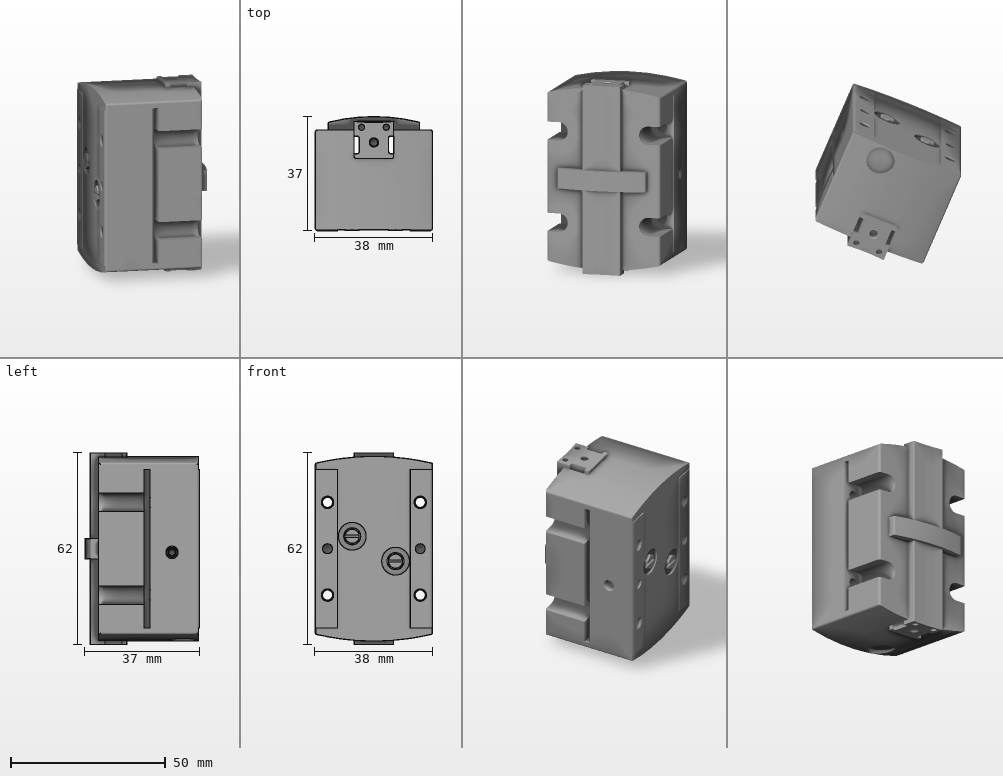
import cadquery as cq
import math


HOUSING_WIDTH = 38.0
HOUSING_DEPTH = 32.7
HOUSING_HEIGHT = 59.75
HOUSING_SIDE_HEIGHT = 55.3
SIDE_EDGE_RADIUS = 0.7
FRONT_EDGE_RADIUS = 1.0
BACK_EDGE_RADIUS = 0.8

PAD_HEIGHT = 0.3
PAD_INNER_X = 11.7
PAD_LENGTH = 51.35
PAD_EDGE_CHAMFER = 0.25
MOUNT_HALF_SPACING = 15.0
BOLT_DIAMETER = 3.3
BOLT_CHAMFER_DIAMETER = 4.0
DOWEL_DIAMETER = 3.2
DOWEL_DEPTH = 4.95

GROOVE_WIDTH = 2.0
GROOVE_CENTRE_Y = 17.0
ACCESS_SLOT_WIDTH = 6.0
ACCESS_SLOT_START_Y = GROOVE_CENTRE_Y + GROOVE_WIDTH / 2
GROOVE_FLOOR_X = MOUNT_HALF_SPACING - ACCESS_SLOT_WIDTH / 2

PORT_Y = 8.9
PORT_Z = -1.2
PORT_CHAMFER_DIAMETER = 4.0
PORT_DIAMETER = 3.2
PORT_DEPTH = 4.95
PORT_PILOT_DIAMETER = 2.0
PORT_PILOT_CHAMFER_DIAMETER = 2.4
PORT_PILOT_DEPTH = 1.85

END_RECESS_DIAMETER = 9.0
END_RECESS_X = -7.3
END_RECESS_Y = 5.3
END_RECESS_DEPTH = 1.75

SCREW_X = 7.0
SCREW_Z = 4.0
SCREW_CENTRES = [(-SCREW_X, SCREW_Z), (SCREW_X, -SCREW_Z)]
SCREW_RECESS_DIAMETER = 9.0
SCREW_RECESS_FLOOR_Y = 1.2
SCREW_DIAMETER = 5.5
SCREW_SHANK_LENGTH = 3.1
SCREW_HEX_FLATS = 4.5
SCREW_HEX_TURN = 30.0
SCREW_HEX_FRONT_Y = 0.05
SCREW_SLOT_WIDTH = 0.7
SCREW_SLOT_DEPTH = 0.75
SCREW_HEX_CHAMFER_ANGLE = 30.0

JAW_WIDTH = 12.7
JAW_FRONT_Y = 23.5
JAW_BACK_Y = 35.45
JAW_BACK_HOLLOW = 0.3
JAW_BACK_CHAMFER = 0.1
JAW_END_Z = 31.0
JAW_CORNER_RADIUS = 0.5
JAW_NOTCH_DEPTH = 1.55
JAW_NOTCH_FRONT_Y = 25.05
JAW_NOTCH_BACK_Y = 30.6
JAW_PIN_HOLE_DIAMETER = 2.0
JAW_PIN_HOLE_DEPTH = 3.7
JAW_PIN_SPACING = 8.0
JAW_PIN_BACK_OFFSET = 1.9
JAW_THREAD_DIAMETER = 2.5
JAW_THREAD_CHAMFER_DIAMETER = 3.0
JAW_THREAD_DEPTH = 4.95
JAW_THREAD_BACK_OFFSET = 6.8

COVER_WIDTH = 29.65
COVER_HEIGHT = 6.5
COVER_BACK_Y = 37.0
COVER_SIDE_Y = 35.15
COVER_CORNER_RADIUS = 0.5

DRILL_POINT_ANGLE = 118.0

CUT_CLEARANCE = 0.6


def drill_mouth(start, direction, diameter, chamfer_diameter):
    """Tool for the 45 degree chamfer at the mouth of a hole."""
    radius = diameter / 2
    mouth_radius = chamfer_diameter / 2
    return cq.Solid.makeCone(
        mouth_radius, radius, mouth_radius - radius, cq.Vector(*start), cq.Vector(*direction)
    )


def drill(start, direction, diameter, depth, chamfer_diameter=None):
    """Tool for a blind hole with a drill point and, if wanted, a chamfered mouth."""
    radius = diameter / 2
    point_length = radius / math.tan(math.radians(DRILL_POINT_ANGLE / 2))
    origin = cq.Vector(*start)
    axis = cq.Vector(*direction)
    tool = cq.Solid.makeCylinder(radius, depth, origin, axis)
    tool = tool.fuse(cq.Solid.makeCone(radius, 0, point_length, origin + axis * depth, axis))
    if chamfer_diameter:
        tool = tool.fuse(drill_mouth(start, direction, diameter, chamfer_diameter))
    return tool


def box(x_range, y_range, z_range):
    """Box between the given limits."""
    x_start, x_end = x_range
    y_start, y_end = y_range
    z_start, z_end = z_range
    return cq.Workplane("XY", origin=(x_start, y_start, z_start)).box(
        x_end - x_start, y_end - y_start, z_end - z_start, centered=False
    )


def cylinder_y(x, z, y_start, y_end, diameter):
    """Cylinder along Y."""
    return cq.Workplane("XZ", origin=(x, y_start, z)).circle(diameter / 2).extrude(y_start - y_end)


def housing_block():
    """Block with bowed upper and lower ends and rounded edges around both side faces."""
    half_width = HOUSING_WIDTH / 2
    half_side = HOUSING_SIDE_HEIGHT / 2
    half_height = HOUSING_HEIGHT / 2
    bowed_block = (
        cq.Workplane("XZ")
        .moveTo(-half_width, -half_side)
        .threePointArc((0, -half_height), (half_width, -half_side))
        .lineTo(half_width, half_side)
        .threePointArc((0, half_height), (-half_width, half_side))
        .close()
        .extrude(-HOUSING_DEPTH)
        .edges("|Y")
        .fillet(SIDE_EDGE_RADIUS)
    )
    rounded_bar = (
        box((-half_width, half_width), (0, HOUSING_DEPTH), (-half_height, half_height))
        .edges("|Z and <Y")
        .fillet(FRONT_EDGE_RADIUS)
        .edges("|Z and >Y")
        .fillet(BACK_EDGE_RADIUS)
    )
    return bowed_block.intersect(rounded_bar)


def front_relief():
    """Layer taken off the front so that only the two mounting pads stand proud."""
    outer_x = HOUSING_WIDTH / 2 + CUT_CLEARANCE
    outer_z = HOUSING_HEIGHT / 2 + CUT_CLEARANCE
    layer = box((-outer_x, outer_x), (-CUT_CLEARANCE, PAD_HEIGHT), (-outer_z, outer_z))
    face_inner_x = PAD_INNER_X + PAD_EDGE_CHAMFER
    for side in (-1, 1):
        pad = (
            cq.Workplane("XY")
            .polyline([
                (side * face_inner_x, -CUT_CLEARANCE),
                (side * outer_x, -CUT_CLEARANCE),
                (side * outer_x, PAD_HEIGHT),
                (side * PAD_INNER_X, PAD_HEIGHT),
            ])
            .close()
            .extrude(PAD_LENGTH / 2, both=True)
        )
        layer = layer.cut(pad)
    return layer


def jaw_bar(half_length):
    """Bar centred on Z with the outer section of a jaw; its two front edges are rounded."""
    half_width = JAW_WIDTH / 2
    return (
        box((-half_width, half_width), (JAW_FRONT_Y, JAW_BACK_Y), (-half_length, half_length))
        .edges("|Z and <Y")
        .fillet(JAW_CORNER_RADIUS)
    )


def side_groove(side):
    """Long groove with a round floor in one side face."""
    face_x = side * (HOUSING_WIDTH / 2 + CUT_CLEARANCE)
    floor_x = side * GROOVE_FLOOR_X
    floor_start_x = floor_x + side * GROOVE_WIDTH / 2
    front_y = GROOVE_CENTRE_Y - GROOVE_WIDTH / 2
    back_y = GROOVE_CENTRE_Y + GROOVE_WIDTH / 2
    return (
        cq.Workplane("XY")
        .moveTo(face_x, front_y)
        .lineTo(floor_start_x, front_y)
        .threePointArc((floor_x, GROOVE_CENTRE_Y), (floor_start_x, back_y))
        .lineTo(face_x, back_y)
        .close()
        .extrude(PAD_LENGTH / 2, both=True)
    )


def access_slot(side, z):
    """Round-ended slot, open to the side and to the back, that reaches one mounting bolt."""
    half_width = ACCESS_SLOT_WIDTH / 2
    face_x = side * (HOUSING_WIDTH / 2 + CUT_CLEARANCE)
    axis_x = side * MOUNT_HALF_SPACING
    return (
        cq.Workplane("XZ", origin=(0, ACCESS_SLOT_START_Y, 0))
        .moveTo(face_x, z - half_width)
        .lineTo(axis_x, z - half_width)
        .threePointArc((axis_x - side * half_width, z), (axis_x, z + half_width))
        .lineTo(face_x, z + half_width)
        .close()
        .extrude(ACCESS_SLOT_START_Y - HOUSING_DEPTH - CUT_CLEARANCE)
    )


def bolt_hole(x, z):
    """Through hole with a chamfered mouth in the pad."""
    mouth = drill_mouth((x, 0, z), (0, 1, 0), BOLT_DIAMETER, BOLT_CHAMFER_DIAMETER)
    return cylinder_y(x, z, 0, HOUSING_DEPTH, BOLT_DIAMETER).union(cq.Workplane(mouth))


def air_port():
    """Stepped port in the -X side face, both steps with a chamfered mouth."""
    face_x = -HOUSING_WIDTH / 2
    inward = (1, 0, 0)
    bore = drill_mouth((face_x, PORT_Y, PORT_Z), inward, PORT_DIAMETER, PORT_CHAMFER_DIAMETER).fuse(
        cq.Solid.makeCylinder(
            PORT_DIAMETER / 2, PORT_DEPTH, cq.Vector(face_x, PORT_Y, PORT_Z), cq.Vector(*inward)
        )
    )
    pilot = drill(
        (face_x + PORT_DEPTH, PORT_Y, PORT_Z),
        inward,
        PORT_PILOT_DIAMETER,
        PORT_PILOT_DEPTH,
        PORT_PILOT_CHAMFER_DIAMETER,
    )
    return bore.fuse(pilot)


def make_housing():
    housing = housing_block().cut(front_relief())
    housing = housing.cut(jaw_bar(HOUSING_HEIGHT / 2))
    for side in (-1, 1):
        housing = housing.cut(side_groove(side))
        x = side * MOUNT_HALF_SPACING
        housing = housing.cut(cq.Workplane(drill((x, 0, 0), (0, 1, 0), DOWEL_DIAMETER, DOWEL_DEPTH)))
        for z in (-MOUNT_HALF_SPACING, MOUNT_HALF_SPACING):
            housing = housing.cut(access_slot(side, z)).cut(bolt_hole(x, z))
    housing = housing.cut(cq.Workplane(air_port()))
    end_recess = (
        cq.Workplane("XY", origin=(END_RECESS_X, END_RECESS_Y, -HOUSING_HEIGHT / 2))
        .circle(END_RECESS_DIAMETER / 2)
        .extrude(END_RECESS_DEPTH)
    )
    housing = housing.cut(end_recess)
    for x, z in SCREW_CENTRES:
        housing = housing.cut(cylinder_y(x, z, 0, SCREW_RECESS_FLOOR_Y, SCREW_RECESS_DIAMETER))
        bore_end = SCREW_RECESS_FLOOR_Y + SCREW_SHANK_LENGTH
        housing = housing.cut(cylinder_y(x, z, SCREW_RECESS_FLOOR_Y, bore_end, SCREW_DIAMETER))
    return housing


def make_screw(x, z):
    """Round shank flush with its recess floor, carrying a slotted hexagon with chamfered corners."""
    shank_end = SCREW_RECESS_FLOOR_Y + SCREW_SHANK_LENGTH
    shank = cylinder_y(x, z, SCREW_RECESS_FLOOR_Y, shank_end, SCREW_DIAMETER)
    across_corners = SCREW_HEX_FLATS / math.cos(math.pi / 6)
    hexagon = (
        cq.Workplane("XZ", origin=(x, SCREW_RECESS_FLOOR_Y, z))
        .transformed(rotate=(0, 0, SCREW_HEX_TURN))
        .polygon(6, across_corners)
        .extrude(SCREW_RECESS_FLOOR_Y - SCREW_HEX_FRONT_Y)
    )
    flats_radius = SCREW_HEX_FLATS / 2
    chamfer_length = SCREW_RECESS_FLOOR_Y - SCREW_HEX_FRONT_Y
    cone_end_radius = flats_radius + chamfer_length / math.tan(math.radians(SCREW_HEX_CHAMFER_ANGLE))
    chamfer_cone = cq.Solid.makeCone(
        flats_radius,
        cone_end_radius,
        chamfer_length,
        cq.Vector(x, SCREW_HEX_FRONT_Y, z),
        cq.Vector(0, 1, 0),
    )
    hexagon = hexagon.intersect(cq.Workplane(chamfer_cone))
    slot = box(
        (x - across_corners, x + across_corners),
        (SCREW_HEX_FRONT_Y, SCREW_HEX_FRONT_Y + SCREW_SLOT_DEPTH),
        (z - SCREW_SLOT_WIDTH / 2, z + SCREW_SLOT_WIDTH / 2),
    )
    return shank.union(hexagon).cut(slot)


def jaw_notch(side):
    """Side notch along the whole jaw, with rounded inner corners."""
    half_width = JAW_WIDTH / 2
    notch = box(
        (half_width - JAW_NOTCH_DEPTH, half_width),
        (JAW_NOTCH_FRONT_Y, JAW_NOTCH_BACK_Y),
        (-JAW_END_Z, JAW_END_Z),
    ).edges("|Z and <X").fillet(JAW_CORNER_RADIUS)
    return notch if side > 0 else notch.mirror("YZ")


def jaw_hollow():
    """Shallow cylindrical hollow across the back of the jaws."""
    half_width = JAW_WIDTH / 2
    return (
        cq.Workplane("XY")
        .moveTo(-half_width, JAW_BACK_Y)
        .threePointArc((0, JAW_BACK_Y - JAW_BACK_HOLLOW), (half_width, JAW_BACK_Y))
        .close()
        .extrude(JAW_END_Z, both=True)
    )


def make_jaw(direction):
    """Jaw that runs from mid-length to one end of the gripper; direction is +1 or -1 along Z."""
    bar = jaw_bar(JAW_END_Z).intersect(
        box((-JAW_WIDTH / 2, JAW_WIDTH / 2), (JAW_FRONT_Y, JAW_BACK_Y), (0, JAW_END_Z))
    )
    bar = bar.cut(jaw_hollow()).edges("|Z and >Y").chamfer(JAW_BACK_CHAMFER)
    for side in (-1, 1):
        bar = bar.cut(jaw_notch(side))
        pin_start = (side * JAW_PIN_SPACING / 2, JAW_BACK_Y - JAW_PIN_BACK_OFFSET, JAW_END_Z)
        bar = bar.cut(cq.Workplane(drill(pin_start, (0, 0, -1), JAW_PIN_HOLE_DIAMETER, JAW_PIN_HOLE_DEPTH)))
    thread_start = (0, JAW_BACK_Y - JAW_THREAD_BACK_OFFSET, JAW_END_Z)
    thread = drill(
        thread_start, (0, 0, -1), JAW_THREAD_DIAMETER, JAW_THREAD_DEPTH, JAW_THREAD_CHAMFER_DIAMETER
    )
    bar = bar.cut(cq.Workplane(thread))
    return bar if direction > 0 else bar.mirror("XY")


def make_cover():
    """Strip across the back of the housing that bridges both jaws and has a bowed back."""
    half_width = COVER_WIDTH / 2
    return (
        cq.Workplane("XY")
        .moveTo(-half_width, HOUSING_DEPTH)
        .lineTo(half_width, HOUSING_DEPTH)
        .lineTo(half_width, COVER_SIDE_Y)
        .threePointArc((0, COVER_BACK_Y), (-half_width, COVER_SIDE_Y))
        .close()
        .extrude(COVER_HEIGHT / 2, both=True)
        .edges("|Z and (not <Y)")
        .fillet(COVER_CORNER_RADIUS)
        .cut(jaw_bar(COVER_HEIGHT))
    )


housing = make_housing()
jaws = [make_jaw(direction) for direction in (-1, 1)]
cover = make_cover()
screws = [make_screw(x, z) for x, z in SCREW_CENTRES]

result = cq.Compound.makeCompound([
    housing.val(),
    *[jaw.val() for jaw in jaws],
    cover.val(),
    *[screw.val() for screw in screws],
])